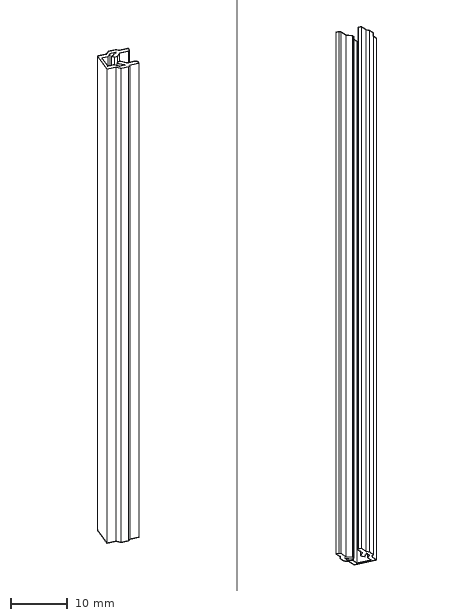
import cadquery as cq

length = 100.0
width = 6.0
depth = 6.0
half_width = width / 2
back_y = -depth / 2
mouth_y = depth / 2

base_half_width = 2.3
base_thickness = 0.5
wall_thickness = 0.9
wall_inner_x = base_half_width - wall_thickness
wall_inner_top_y = -1.3

bulge_start_y = -1.3
bulge_flat_low_y = -0.6
bulge_flat_high_y = 0.8
bulge_end_y = 1.3

arm_outer_x = 2.6
arm_thickness = 0.9
arm_inner_x = arm_outer_x - arm_thickness
arm_chamfer = 0.3

hook_root_y = 1.0
hook_tip_x = 0.8
hook_tip_high_y = 0.2
hook_tip_low_y = -0.3
hook_heel_x = 1.2
hook_heel_y = -0.7
groove_x = 2.2
groove_top_y = 0.5
groove_low_y = -0.6

right_outline = [
    (base_half_width, back_y),
    (base_half_width, bulge_start_y),
    (half_width, bulge_flat_low_y),
    (half_width, bulge_flat_high_y),
    (arm_outer_x, bulge_end_y),
    (arm_outer_x, mouth_y),
    (arm_inner_x + arm_chamfer, mouth_y),
    (arm_inner_x, mouth_y - arm_chamfer),
    (arm_inner_x, hook_root_y),
    (hook_tip_x, hook_tip_high_y),
    (hook_tip_x, hook_tip_low_y),
    (hook_heel_x, hook_heel_y),
    (groove_x, groove_top_y),
    (groove_x, groove_low_y),
    (wall_inner_x, wall_inner_top_y),
    (wall_inner_x, back_y + base_thickness),
]
left_outline = [(-x, y) for x, y in reversed(right_outline)]

result = (
    cq.Workplane("XY")
    .workplane(offset=-length / 2)
    .polyline(right_outline + left_outline)
    .close()
    .extrude(length)
)